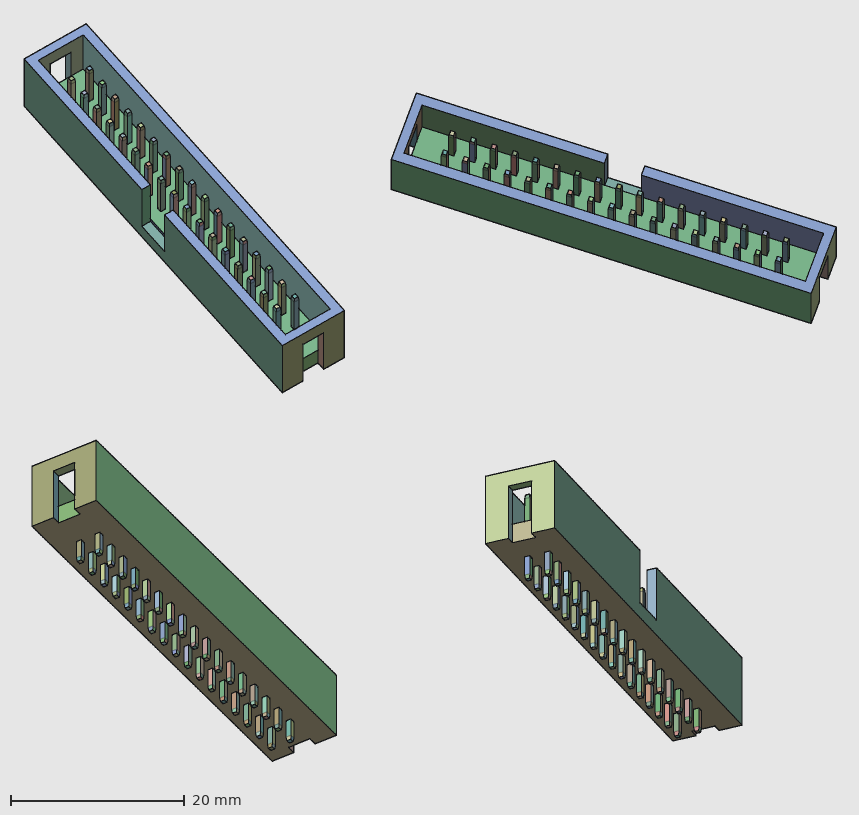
import cadquery as cq


body_length = 51.1
body_width = 8.8
body_height = 8.9
end_wall = 1.1
side_wall = 1.25
floor_top = 2.45

notch_width = 4.5
notch_bottom = 2.0

end_slot_width = 2.9
end_slot_top = 6.9

pin_columns = 17
pin_rows = 2
pin_span = 40.65
pin_pitch = pin_span / (pin_columns - 1)
pin_size = 0.65
pin_tail = 2.9
pin_top = 8.2
pin_array_shift = -0.2
tip_height = 0.5
tip_inset = 0.07


def make_housing():
    """Box with a rectangular cavity open at the top."""
    block = cq.Workplane("XY").box(body_length, body_width, body_height, centered=(True, True, False))
    cavity = (
        cq.Workplane("XY", origin=(0, 0, floor_top))
        .rect(body_length - 2 * end_wall, body_width - 2 * side_wall)
        .extrude(body_height - floor_top)
    )
    return block.cut(cavity)


def make_notch():
    """Cutter for the polarising notch, as deep as the side wall is thick."""
    wall_middle = (side_wall - body_width) / 2
    return (
        cq.Workplane("XY", origin=(0, wall_middle, notch_bottom))
        .rect(notch_width, side_wall)
        .extrude(body_height - notch_bottom)
    )


def make_end_slot(side):
    """Cutter for one end slot, as deep as the end wall is thick; side is -1 or 1 along X."""
    wall_middle = side * (body_length - end_wall) / 2
    return cq.Workplane("XY", origin=(wall_middle, 0, 0)).rect(end_wall, end_slot_width).extrude(end_slot_top)


def make_pin():
    """Square pin tapered at both tips, with its axis on Z."""
    shank_bottom = tip_height - pin_tail
    shank_top = pin_top - tip_height
    shank_base = cq.Workplane("XY", origin=(0, 0, shank_bottom))
    pin = shank_base.rect(pin_size, pin_size).extrude(shank_top - shank_bottom)

    end_size = pin_size - 2 * tip_inset
    for shank_end in (">Z", "<Z"):
        tip_base = pin.faces(shank_end).wires().toPending()
        pin = tip_base.workplane(offset=tip_height).rect(end_size, end_size).loft(combine=True)
    return pin.val()


def make_pin_grid():
    """Rows and columns of pins, centred across the width and shifted slightly along the length."""
    pin = make_pin()
    positions = cq.Workplane("XY", origin=(pin_array_shift, 0, 0)).rarray(
        pin_pitch, pin_pitch, pin_columns, pin_rows
    )
    return positions.eachpoint(lambda place: pin.moved(place))


result = make_housing().cut(make_notch())
for end in (-1, 1):
    result = result.cut(make_end_slot(end))
result = result.union(make_pin_grid())